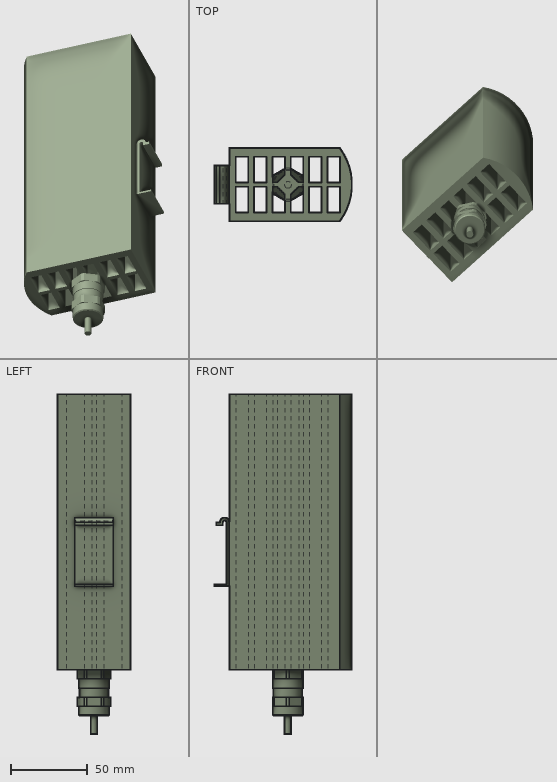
import cadquery as cq
import math


housing_height = 180.0
housing_width = 48.0
straight_depth = 72.1
bow_depth = 8.0

channel_columns = 6
channel_depth = 8.0
channel_pitch = 12.0
channel_width = 16.6
middle_rib = 2.9
back_wall = 4.2
core_half_diagonal = 8.5

channel_span = (channel_columns - 1) * channel_pitch + channel_depth
back_x = -(back_wall + channel_span / 2)

clip_width = 25.0
clip_thickness = 2.0
clip_bottom_z = 54.5
clip_height = 44.8
lower_lip_reach = 10.0
lower_lip_thickness = 1.3
upper_lip_reach = 8.7
hook_outer_radius = 3.0

gland_section = 6.0
hex_across_flats = 20.0
hex_rounding_diameter = 22.0
collar_diameter = 20.0
neck_diameter = 19.0
end_chamfer = 0.7
cable_diameter = 4.5
cable_length = 12.0


def make_housing():
    """Bowed box with the grid of channels running through its full height."""
    half_width = housing_width / 2
    front_x = back_x + straight_depth
    body = (
        cq.Workplane("XY")
        .moveTo(back_x, -half_width)
        .lineTo(front_x, -half_width)
        .threePointArc((front_x + bow_depth, 0), (front_x, half_width))
        .lineTo(back_x, half_width)
        .close()
        .extrude(housing_height)
    )
    return body.cut(make_channels())


def make_channels():
    """Two rows of channels, kept clear of the square core that stands on its corner."""
    channels = (
        cq.Workplane("XY")
        .rarray(channel_pitch, channel_width + middle_rib, channel_columns, 2)
        .rect(channel_depth, channel_width)
        .extrude(housing_height)
    )
    core_side = core_half_diagonal * math.sqrt(2)
    core = cq.Workplane("XY").rect(core_side, core_side).extrude(housing_height)
    return channels.cut(core.rotate((0, 0, 0), (0, 0, 1), 45))


def make_clip():
    """Bent strip: straight lower lip, flat back plate, and a rolled hook with an upper lip."""
    plate_x = back_x - clip_thickness
    bend_x = back_x - hook_outer_radius
    hook_left_x = back_x - 2 * hook_outer_radius
    inner_radius = hook_outer_radius - clip_thickness
    top_z = clip_bottom_z + clip_height
    bend_z = top_z - hook_outer_radius
    lip_bottom_z = bend_z - clip_thickness
    lower_lip_top_z = clip_bottom_z + lower_lip_thickness
    return (
        cq.Workplane("XZ")
        .moveTo(back_x, clip_bottom_z)
        .lineTo(back_x, bend_z)
        .threePointArc((bend_x, top_z), (hook_left_x, bend_z))
        .lineTo(back_x - upper_lip_reach, bend_z)
        .lineTo(back_x - upper_lip_reach, lip_bottom_z)
        .lineTo(hook_left_x + clip_thickness, lip_bottom_z)
        .lineTo(hook_left_x + clip_thickness, bend_z)
        .threePointArc((bend_x, bend_z + inner_radius), (plate_x, bend_z))
        .lineTo(plate_x, lower_lip_top_z)
        .lineTo(back_x - lower_lip_reach, lower_lip_top_z)
        .lineTo(back_x - lower_lip_reach, clip_bottom_z)
        .close()
        .extrude(clip_width / 2, both=True)
    )


def make_cylinder(diameter, top_z, length):
    """Cylinder on the gland axis, hanging down from top_z."""
    return cq.Workplane("XY").workplane(offset=top_z).circle(diameter / 2).extrude(-length)


def make_hex(top_z):
    """Hexagon with two flats facing along X and its corners rounded to a common diameter."""
    across_corners = hex_across_flats / math.cos(math.radians(30))
    hexagon = (
        cq.Workplane("XY")
        .workplane(offset=top_z)
        .polygon(6, across_corners)
        .extrude(-gland_section)
        .rotate((0, 0, 0), (0, 0, 1), 30)
    )
    return hexagon.intersect(make_cylinder(hex_rounding_diameter, top_z, gland_section))


def make_gland():
    """Hex, collar, neck, hex nut and end collar in equal sections, with the cable below."""
    collar_z = -gland_section
    neck_z = collar_z - gland_section
    nut_z = neck_z - gland_section
    end_z = nut_z - gland_section
    cable_z = end_z - gland_section
    end_collar = make_cylinder(collar_diameter, end_z, gland_section).faces("<Z").chamfer(end_chamfer)
    return (
        make_hex(0)
        .union(make_cylinder(collar_diameter, collar_z, gland_section))
        .union(make_cylinder(neck_diameter, neck_z, gland_section))
        .union(make_hex(nut_z))
        .union(end_collar)
        .union(make_cylinder(cable_diameter, cable_z, cable_length))
    )


housing = make_housing()
clip = make_clip()
gland = make_gland()

result = cq.Compound.makeCompound([housing.val(), clip.val(), gland.val()])